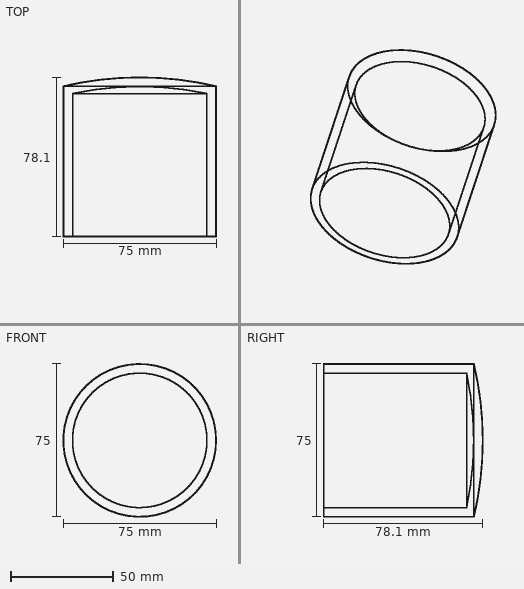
import cadquery as cq
import math

outer_diameter = 75.0
total_length = 78.05
wall = 4.5
dome_height = 4.4

outer_radius = outer_diameter / 2
inner_radius = outer_radius - wall

dome_radius = (outer_radius**2 + dome_height**2) / (2 * dome_height)
dome_center_y = total_length - dome_radius
inner_dome_radius = dome_radius - wall


def domed_cylinder(radius, sphere_radius):
    """Solid cylinder from Y = 0, ending in a sphere centred on the axis."""

    def sphere_y(x):
        return dome_center_y + math.sqrt(sphere_radius**2 - x**2)

    return (
        cq.Workplane("XY")
        .lineTo(radius, 0)
        .lineTo(radius, sphere_y(radius))
        .threePointArc((radius / 2, sphere_y(radius / 2)), (0, sphere_y(0)))
        .close()
        .revolve(360, (0, 0, 0), (0, 1, 0))
    )


body = domed_cylinder(outer_radius, dome_radius)
cavity = domed_cylinder(inner_radius, inner_dome_radius)
result = body.cut(cavity)